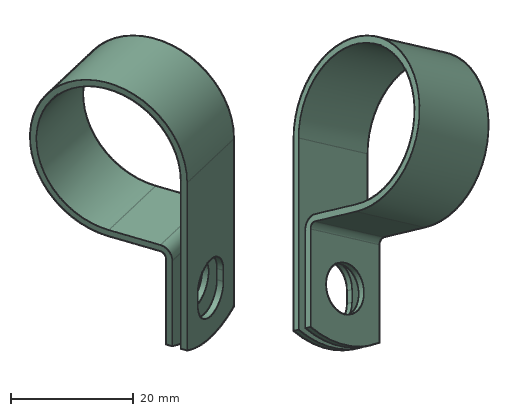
import cadquery as cq
import math

total_height = 48.75
width = 15.9
loop_diameter = 29.45
thickness = 1.2
leg_gap = 1.55
bend_inner_radius = 1.05
hole_diameter = 8.7
hole_height = 9.5
slot_length = 10.8
tip_rise = 1.7

outer_radius = loop_diameter / 2
inner_radius = outer_radius - thickness
bend_outer_radius = bend_inner_radius + thickness
bottom = outer_radius - total_height
short_leg_outer = inner_radius - leg_gap
short_leg_inner = short_leg_outer - thickness
bend_x = short_leg_outer - bend_outer_radius
bend_z = -inner_radius - bend_outer_radius
hole_z = bottom + hole_height
diagonal = math.sqrt(0.5)
half_width = width / 2


def make_strap():
    """Bent strap: long leg, three-quarter loop, flat shelf, bend and short leg."""
    return (
        cq.Workplane("XZ")
        .moveTo(outer_radius, bottom)
        .lineTo(outer_radius, 0)
        .threePointArc((-outer_radius * diagonal, outer_radius * diagonal), (0, -outer_radius))
        .lineTo(bend_x, -outer_radius)
        .threePointArc(
            (bend_x + bend_inner_radius * diagonal, bend_z + bend_inner_radius * diagonal),
            (short_leg_inner, bend_z),
        )
        .lineTo(short_leg_inner, bottom)
        .lineTo(short_leg_outer, bottom)
        .lineTo(short_leg_outer, bend_z)
        .threePointArc(
            (bend_x + bend_outer_radius * diagonal, bend_z + bend_outer_radius * diagonal),
            (bend_x, -inner_radius),
        )
        .lineTo(0, -inner_radius)
        .threePointArc((-inner_radius * diagonal, inner_radius * diagonal), (inner_radius, 0))
        .lineTo(inner_radius, bottom)
        .close()
        .extrude(half_width, both=True)
    )


def make_tip_envelope():
    """Block around the whole strap with a convex lower edge that rounds the leg tips."""
    return (
        cq.Workplane("YZ")
        .moveTo(-half_width, outer_radius)
        .lineTo(-half_width, bottom + tip_rise)
        .threePointArc((0, bottom), (half_width, bottom + tip_rise))
        .lineTo(half_width, outer_radius)
        .close()
        .extrude(outer_radius, both=True)
    )


def make_bolt_hole():
    """Cylinder along X through the short leg only."""
    return (
        cq.Workplane("YZ", origin=(short_leg_inner, 0, hole_z))
        .circle(hole_diameter / 2)
        .extrude(thickness)
    )


def make_adjusting_slot():
    """Upright slot through the long leg, centred on the bolt hole."""
    return (
        cq.Workplane("YZ", origin=(inner_radius, 0, hole_z))
        .slot2D(slot_length, hole_diameter, 90)
        .extrude(thickness)
    )


strap = make_strap().intersect(make_tip_envelope())
result = strap.cut(make_bolt_hole()).cut(make_adjusting_slot())